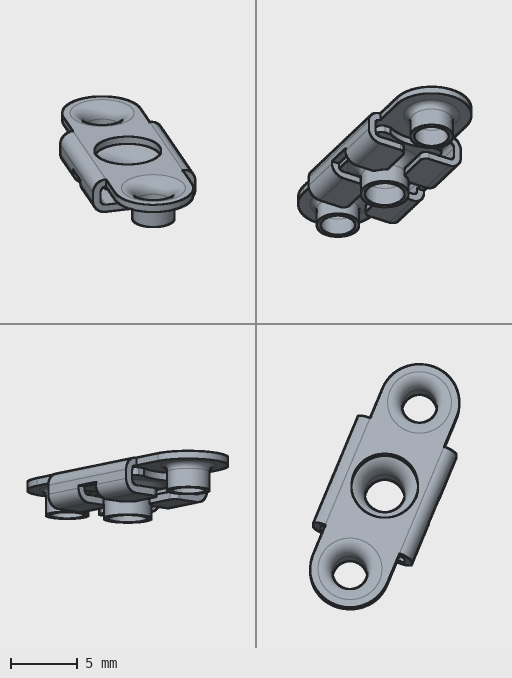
import cadquery as cq
import math


SHEET = 0.6

STRIP_LENGTH = 20.0
STRIP_WIDTH = 6.0
WINDOW_DIAMETER = 5.0

CHANNEL_LENGTH = 9.0
CHANNEL_WIDTH = 8.0
CHANNEL_DEPTH = 2.7
BEND_RADIUS = 1.0
FLANGE_GAP = 1.5
FLANGE_CORNER_RADIUS = 0.5
SIDE_NOTCH_WIDTH = 2.0
SIDE_NOTCH_TOP = -1.5
EYELET_CLEARANCE = 0.02

END_SPACING = 14.0
END_OUTER_RADIUS = 1.6
END_BORE_RADIUS = 1.3
END_FLARE_RADIUS = 0.5
END_BOTTOM = -2.5

SLIDER_LENGTH = 8.0
SLIDER_WIDTH = 5.6
SLIDER_CORNER_RADIUS = 0.5
SLIDER_RECESS_RADIUS = 3.5
SLIDER_OUTER_RADIUS = 1.8
SLIDER_BORE_RADIUS = 1.5
SLIDER_FLARE_RADIUS = 1.0
SLIDER_BOTTOM = -3.7

END_POSITIONS = [-END_SPACING / 2, END_SPACING / 2]
SLIDER_TOP = -SHEET
CORNER_45 = math.sqrt(0.5)


def box(length, width, bottom, top):
    """Upright block centred on the Z axis."""
    return cq.Workplane("XY").workplane(offset=bottom).rect(length, width).extrude(top - bottom)


def cylinder(radius, bottom, top, x=0.0):
    """Upright cylinder on the X axis."""
    return cq.Workplane("XY", origin=(x, 0, bottom)).circle(radius).extrude(top - bottom)


def trumpet(radius, round_radius, top, bottom, x):
    """Solid of revolution: a cylinder that widens to its top face along a concave quarter arc."""
    rim = radius + round_radius
    arc_end = top - round_radius
    arc_middle = (rim - round_radius * CORNER_45, arc_end + round_radius * CORNER_45)
    profile = (
        cq.Workplane("XZ", origin=(x, 0, 0))
        .moveTo(0, top)
        .lineTo(rim, top)
        .threePointArc(arc_middle, (radius, arc_end))
        .lineTo(radius, bottom)
        .lineTo(0, bottom)
        .close()
    )
    return profile.revolve(360, (0, 0, 0), (0, 1, 0))


def add_eyelet(plate, x, top, bottom, outer_radius, flare_radius, bore_radius):
    """Add a flared tube under a plate and open it through the plate's top face.

    The flare and the rounded mouth of the bore end at the same level.
    """
    tube = trumpet(outer_radius, flare_radius, top - SHEET, bottom, x)
    bore = trumpet(bore_radius, flare_radius + SHEET, top, bottom, x)
    return plate.union(tube).cut(bore)


def make_channel():
    """Folded channel: rounded rectangular tube, open along the middle of its underside."""
    outer = box(CHANNEL_LENGTH, CHANNEL_WIDTH, -CHANNEL_DEPTH, 0).edges("|X").fillet(BEND_RADIUS)
    cavity = box(CHANNEL_LENGTH, CHANNEL_WIDTH - 2 * SHEET, SHEET - CHANNEL_DEPTH, -SHEET)
    cavity = cavity.edges("|X").fillet(BEND_RADIUS - SHEET)
    gap = box(CHANNEL_LENGTH, FLANGE_GAP, -CHANNEL_DEPTH, -SHEET)
    channel = outer.cut(cavity).cut(gap)

    corner_reach = FLANGE_GAP / 2 + FLANGE_CORNER_RADIUS
    flange_corners = cq.selectors.BoxSelector(
        (-CHANNEL_LENGTH, -corner_reach, -CHANNEL_DEPTH),
        (CHANNEL_LENGTH, corner_reach, SHEET - CHANNEL_DEPTH),
    )
    channel = channel.edges("|Z").edges(flange_corners).fillet(FLANGE_CORNER_RADIUS)

    side_notches = box(SIDE_NOTCH_WIDTH, CHANNEL_WIDTH, -CHANNEL_DEPTH, SIDE_NOTCH_TOP)
    hole_radius = SLIDER_OUTER_RADIUS + EYELET_CLEARANCE
    eyelet_hole = cylinder(hole_radius, -CHANNEL_DEPTH, SHEET - CHANNEL_DEPTH)
    return channel.cut(side_notches).cut(eyelet_hole)


def make_clip():
    """Round-ended strip with the folded channel, the window and the two end eyelets."""
    strip = cq.Workplane("XY").slot2D(STRIP_LENGTH, STRIP_WIDTH).extrude(-SHEET)
    clip = strip.union(make_channel())
    clip = clip.cut(cylinder(WINDOW_DIAMETER / 2, -SHEET, 0))
    for x in END_POSITIONS:
        clip = add_eyelet(clip, x, 0, END_BOTTOM, END_OUTER_RADIUS, END_FLARE_RADIUS, END_BORE_RADIUS)
    return clip


def make_slider():
    """Plate under the strip with a recess in each end and the central eyelet."""
    slider = box(SLIDER_LENGTH, SLIDER_WIDTH, SLIDER_TOP - SHEET, SLIDER_TOP)
    slider = slider.edges("|Z").fillet(SLIDER_CORNER_RADIUS)
    for x in END_POSITIONS:
        slider = slider.cut(cylinder(SLIDER_RECESS_RADIUS, SLIDER_TOP - SHEET, SLIDER_TOP, x))
    return add_eyelet(
        slider,
        0,
        SLIDER_TOP,
        SLIDER_BOTTOM,
        SLIDER_OUTER_RADIUS,
        SLIDER_FLARE_RADIUS,
        SLIDER_BORE_RADIUS,
    )


clip = make_clip()
slider = make_slider()
result = cq.Compound.makeCompound([clip.val(), slider.val()])